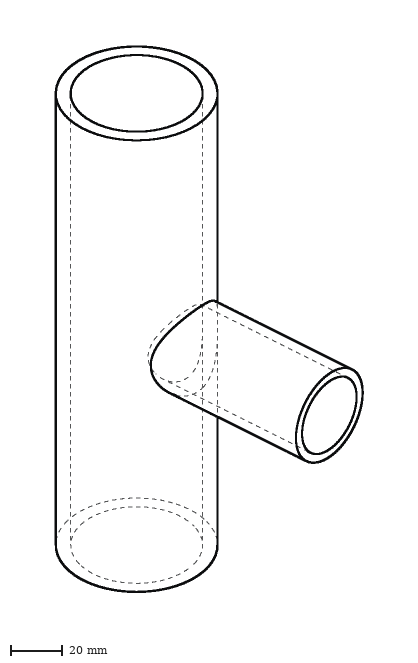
import cadquery as cq

main_length = 216.0
main_diameter = 63.0
main_bore = 51.5
branch_diameter = 40.0
branch_bore = 32.6
branch_reach = 99.0
branch_height = main_length / 2


def main_cylinder(diameter):
    return cq.Workplane("XY").circle(diameter / 2).extrude(main_length)


def branch_cylinder(diameter):
    """Cylinder from the main pipe axis to the open end of the branch."""
    return (
        cq.Workplane("YZ")
        .center(0, branch_height)
        .circle(diameter / 2)
        .extrude(branch_reach)
    )


outside = main_cylinder(main_diameter).union(branch_cylinder(branch_diameter))

passages = main_cylinder(main_bore).union(branch_cylinder(branch_bore))

result = outside.cut(passages)